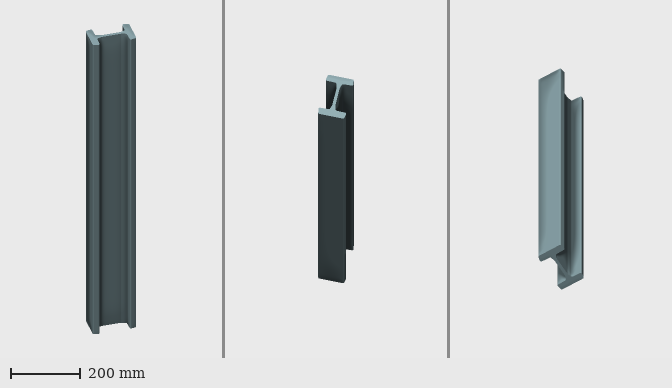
import cadquery as cq
import math

length = 1000.0
depth = 130.0
width = 81.0

side_flare = math.radians(10.0)
inner_face_slope = math.radians(2.0)
flange_tip_y = 45.0
outer_corner_radius = 4.0
tip_radius = 4.0

web_thickness = 9.0
web_taper_start = 29.0
root_thickness = 18.0
root_radius = 5.0


tip_angle = math.pi / 2 - side_flare + inner_face_slope
tip_tangent_length = tip_radius / math.tan(tip_angle / 2)
tip_tangent_y = flange_tip_y + tip_tangent_length * math.cos(side_flare)
tip_tangent_x = width / 2 - tip_radius * (1 - math.cos(side_flare))


def side_x(y):
    """Half width of the flared flange side at height y."""
    return tip_tangent_x - (y - tip_tangent_y) * math.tan(side_flare)


def rounded_edges(body, corners, radius):
    """Round the lengthwise edges at the given corners, repeated in all four quadrants."""
    for x, y in corners:
        for sign_x in (-1, 1):
            for sign_y in (-1, 1):
                point = (sign_x * x, sign_y * y, length / 2)
                nearest = cq.selectors.NearestToPointSelector(point)
                body = body.edges("|Z").edges(nearest).fillet(radius)
    return body


outer_corner = (side_x(depth / 2), depth / 2)
tip_corner = (side_x(flange_tip_y), flange_tip_y)
inner_face_run = tip_corner[0] - root_thickness / 2
root_corner = (root_thickness / 2, flange_tip_y - inner_face_run * math.tan(inner_face_slope))

quarter_profile = [
    (0, depth / 2),
    outer_corner,
    tip_corner,
    root_corner,
    (web_thickness / 2, web_taper_start),
    (web_thickness / 2, 0),
    (0, 0),
]
quarter = cq.Workplane("XY").polyline(quarter_profile).close().extrude(length)
half = quarter.union(quarter.mirror("YZ"))
beam = half.union(half.mirror("XZ")).clean()

beam = rounded_edges(beam, [outer_corner], outer_corner_radius)
beam = rounded_edges(beam, [tip_corner], tip_radius)
result = rounded_edges(beam, [root_corner], root_radius)